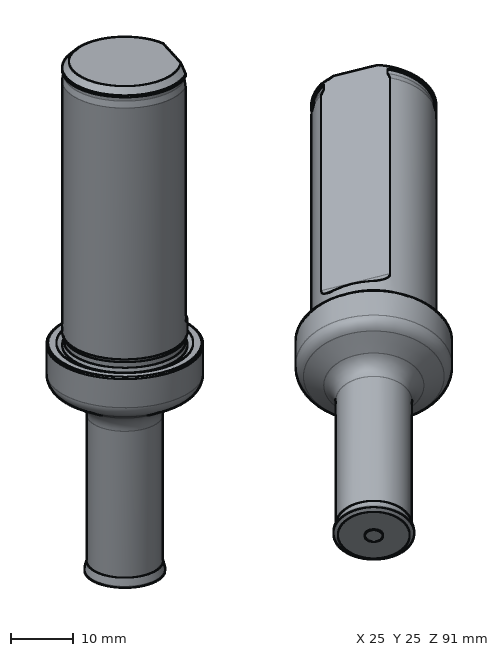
import cadquery as cq
import math

total_length = 91.0

insert_seat_z = 2.2
insert_edge_radius = 6.5
insert_edge_top_z = 0.8
insert_edge_bottom_z = 0.55
insert_face_radius = 5.7
insert_face_z = 0.2
nub_radius = 2.9 / 2

stem_radius = 12.2 / 2
stem_top_z = 28.2
flange_radius = 25.0 / 2
flange_bottom_z = 35.6
flange_top_z = 40.95
flange_corner = 0.3
cone_angle = math.radians(30)
cone_stem_corner_z = 30.4

relief_radius = 10.9
relief_depth = 0.4
neck_radius = 19.5 / 2
neck_bottom_z = flange_top_z + relief_depth
neck_top_z = 42.3
neck_shoulder_height = 0.6

shank_radius = 20.0 / 2
shank_bottom_z = neck_top_z + neck_shoulder_height
top_chamfer = 1.1
groove_top_z = 89.5
groove_bottom_z = 88.7
groove_taper_bottom_z = 87.6

flat_y = 8.1
flat_runout_z = 44.8
flat_runout_radius = shank_radius - flat_y


def along_cone(radius, z, distance):
    """Point (radius, z) moved outwards and upwards along the cone."""
    return radius + distance * math.cos(cone_angle), z + distance * math.sin(cone_angle)


def revolve_profile(profile):
    """Solid of revolution about Z from a closed (radius, z) profile."""
    return profile.close().revolve(360, (0, 0, 0), (0, 1, 0))


def make_turned_holder():
    stem_blend = cone_stem_corner_z - stem_top_z
    flange_corner_z = cone_stem_corner_z + (flange_radius - stem_radius) * math.tan(cone_angle)
    flange_blend = flange_bottom_z - flange_corner_z
    cone_start = along_cone(stem_radius, cone_stem_corner_z, stem_blend)
    cone_end = along_cone(flange_radius, flange_corner_z, -flange_blend)
    profile = (
        cq.Workplane("XZ")
        .moveTo(0, insert_seat_z)
        .lineTo(stem_radius, insert_seat_z)
        .lineTo(stem_radius, stem_top_z)
        .tangentArcPoint(cone_start, relative=False)
        .lineTo(*cone_end)
        .tangentArcPoint((flange_radius, flange_bottom_z), relative=False)
        .lineTo(flange_radius, flange_top_z - flange_corner)
        .lineTo(flange_radius - flange_corner, flange_top_z)
        .lineTo(relief_radius, flange_top_z)
        .lineTo(shank_radius, flange_top_z - relief_depth)
        .lineTo(neck_radius, neck_bottom_z)
        .lineTo(neck_radius, neck_top_z)
        .lineTo(shank_radius, shank_bottom_z)
        .lineTo(shank_radius, groove_taper_bottom_z)
        .lineTo(neck_radius, groove_bottom_z)
        .lineTo(neck_radius, groove_top_z)
        .lineTo(shank_radius, groove_top_z)
        .lineTo(shank_radius, total_length - top_chamfer)
        .lineTo(shank_radius - top_chamfer, total_length)
        .lineTo(0, total_length)
    )
    return revolve_profile(profile)


def make_flat_cutter():
    """Block that cuts the flat, with a quarter-round runout at its lower end."""
    return (
        cq.Workplane("YZ")
        .moveTo(flat_y, total_length)
        .lineTo(flat_y, flat_runout_z + flat_runout_radius)
        .tangentArcPoint((shank_radius, flat_runout_z), relative=False)
        .lineTo(shank_radius, total_length)
        .close()
        .extrude(shank_radius, both=True)
    )


def make_insert():
    profile = (
        cq.Workplane("XZ")
        .lineTo(nub_radius, 0)
        .lineTo(nub_radius, insert_face_z)
        .lineTo(insert_face_radius, insert_face_z)
        .lineTo(insert_edge_radius, insert_edge_bottom_z)
        .lineTo(insert_edge_radius, insert_edge_top_z)
        .lineTo(stem_radius, insert_seat_z)
        .lineTo(0, insert_seat_z)
    )
    return revolve_profile(profile)


holder = make_turned_holder().cut(make_flat_cutter())
insert = make_insert()

result = cq.Compound.makeCompound([holder.val(), insert.val()])